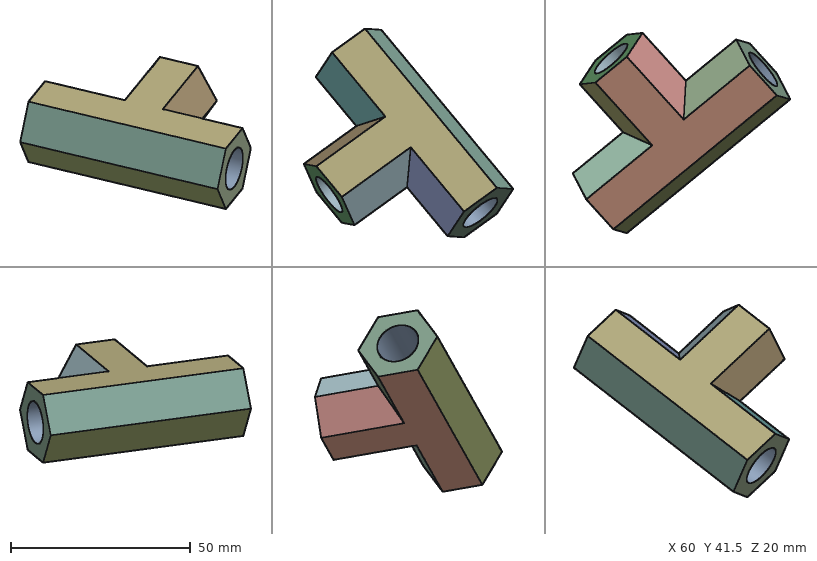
import cadquery as cq
import math

run_length = 60.0
arm_length = run_length / 2
across_flats = run_length / 3
across_corners = across_flats / math.cos(math.pi / 6)
bore_diameter = 12.0
hex_sides = 6

run_end = cq.Plane(origin=(-arm_length, 0, 0), xDir=(0, 1, 0), normal=(1, 0, 0))
branch_root = cq.Plane(origin=(0, 0, 0), xDir=(-1, 0, 0), normal=(0, 1, 0))


def hex_bar(plane, length):
    return cq.Workplane(plane).polygon(hex_sides, across_corners).extrude(length)


def bore(plane, length):
    return cq.Workplane(plane).circle(bore_diameter / 2).extrude(length)


body = hex_bar(run_end, run_length).union(hex_bar(branch_root, arm_length))
bores = bore(run_end, run_length).union(bore(branch_root, arm_length))

result = body.cut(bores)